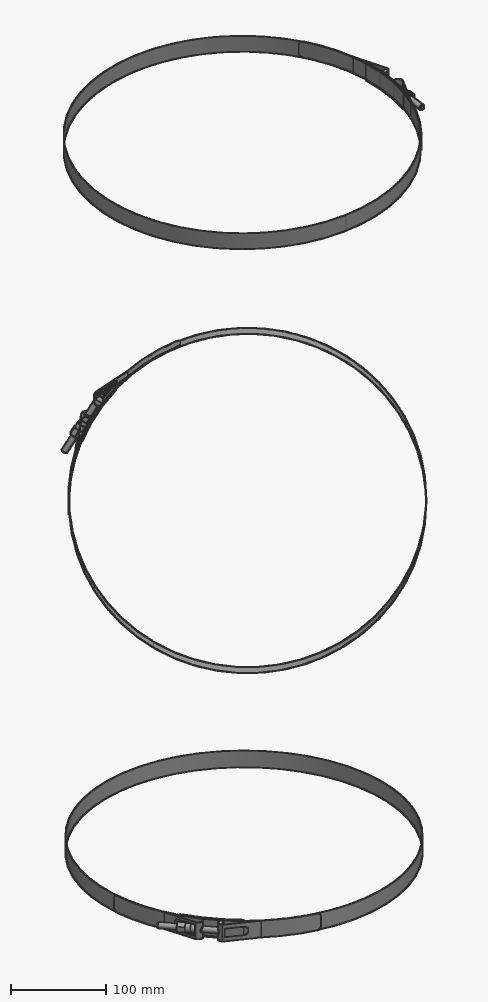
import cadquery as cq
import math


ring_diameter = 375.3
overall_depth = 385.0

sheet = 0.6
strap_width = 20.0
ring_radius = ring_diameter / 2
strap_inner = ring_radius - sheet
fold_outer = ring_radius + sheet

bridge_half_length = 34.3
bridge_width = 22.0
flange_radius = 188.5
bridge_inner = strap_inner - sheet

bolt_radius = 3.5
bolt_end = 56.5
bolt_chamfer = 0.95
bush_radius = 4.0
collar_radius = 4.5
collar_start = 16.0
spacer_start = 20.8
spacer_radius = 5.0
nut_start = 26.5
nut_end = 35.5
nut_flats = 10.8

loop_x = 13.0
loop_y = overall_depth - ring_radius - nut_flats / 2
loop_outer = math.hypot(loop_x, loop_y) - strap_inner
loop_inner = loop_outer - sheet
loop_angle = math.degrees(math.atan2(loop_x, loop_y))
lift_angle = 16.0
fold_end_angle = 36.0
fold_corner = 4.5

window_start = 15.8
window_end = 39.3
window_corner = 4.5
head_window_width = 10.0
nut_window_width = 13.5


def polar(radius, angle):
    """Point at a radius and an angle in degrees from +Y towards +X."""
    turn = math.radians(angle)
    return radius * math.sin(turn), radius * math.cos(turn)


def loop_point(radius, turn):
    """Point on a circle round the loop centre, at a turn in radians from +X."""
    return loop_x + radius * math.cos(turn), loop_y + radius * math.sin(turn)


def tangent_turn(radius, point):
    """Where the line from a point touches the top of a circle round the loop centre."""
    dx = point[0] - loop_x
    dy = point[1] - loop_y
    return math.atan2(dy, dx) + math.acos(radius / math.hypot(dx, dy))


def disc(radius, width):
    return cq.Workplane("XY").circle(radius).extrude(width / 2, both=True)


def ring(inner, outer, width):
    return disc(outer, width).cut(disc(inner, width))


def wedge(half_angle, width):
    """Sector centred on +Y that reaches past the ring."""
    reach = 2 * ring_radius
    right = polar(reach, half_angle)
    return (
        cq.Workplane("XY")
        .polyline([(0, 0), right, (-right[0], right[1])])
        .close()
        .extrude(width / 2, both=True)
    )


def bolt_plane(start):
    """Sketch plane across the bolt axis, with its first direction along +Z."""
    return cq.Workplane(cq.Plane(origin=(start, loop_y, 0), xDir=(0, 0, 1), normal=(1, 0, 0)))


def bar(radius, start, end):
    """Round bar along the bolt axis."""
    return bolt_plane(start).circle(radius).extrude(end - start)


def strap_end(window_width):
    """Folded loop on the +X side, with its window and bolt hole."""
    lift_inner = polar(ring_radius, lift_angle)
    lift_outer = polar(fold_outer, lift_angle)
    fold_middle = (lift_angle + fold_end_angle) / 2
    inner_turn = tangent_turn(loop_inner, lift_inner)
    outer_turn = tangent_turn(loop_outer, lift_outer)
    bottom_turn = math.radians(270 - loop_angle)
    end = (
        cq.Workplane("XY")
        .moveTo(*polar(fold_outer, fold_end_angle))
        .threePointArc(polar(fold_outer, fold_middle), lift_outer)
        .lineTo(*loop_point(loop_outer, outer_turn))
        .threePointArc(loop_point(loop_outer, math.pi), loop_point(loop_outer, bottom_turn))
        .lineTo(*loop_point(loop_inner, bottom_turn))
        .threePointArc(loop_point(loop_inner, math.pi), loop_point(loop_inner, inner_turn))
        .lineTo(*lift_inner)
        .threePointArc(polar(ring_radius, fold_middle), polar(ring_radius, fold_end_angle))
        .close()
        .extrude(strap_width / 2, both=True)
    )
    tip_x, tip_y = polar(ring_radius + sheet / 2, fold_end_angle)
    for tip_z in (-strap_width / 2, strap_width / 2):
        corner = cq.selectors.NearestToPointSelector((tip_x, tip_y, tip_z))
        end = end.edges(corner).fillet(fold_corner)
    window = (
        cq.Workplane("XY")
        .box(window_end - window_start, 4 * loop_outer, window_width)
        .edges(">X and |Y")
        .fillet(window_corner)
        .translate(((window_start + window_end) / 2, loop_y, 0))
    )
    return end.cut(window).cut(bar(bolt_radius, 0, loop_x))


def loop_filling():
    """Half cylinder that fills the rounded side of the +X loop, next to the gap."""
    cylinder = disc(loop_inner, strap_width).translate((loop_x, loop_y, 0))
    return cylinder.intersect(cq.Workplane("XY").box(2 * loop_x, 4 * ring_radius, strap_width))


bridge_angle = math.degrees(math.asin(bridge_half_length / flange_radius))
floor = ring(bridge_inner, strap_inner, bridge_width)
flanges = ring(bridge_inner, flange_radius, bridge_width).cut(disc(flange_radius, strap_width))
bridge = floor.union(flanges).intersect(wedge(bridge_angle, bridge_width))

strap = (
    ring(strap_inner, ring_radius, strap_width)
    .cut(wedge(loop_angle, strap_width))
    .union(strap_end(nut_window_width))
    .union(strap_end(head_window_width).mirror("YZ"))
)

shank = bar(bolt_radius, -loop_x, bolt_end).faces(">X").chamfer(bolt_chamfer)
t_bolt = loop_filling().mirror("YZ").union(shank)

bush = (
    bar(bush_radius, 0, loop_x)
    .intersect(loop_filling())
    .union(bar(bush_radius, loop_x, collar_start))
    .union(bar(collar_radius, collar_start, spacer_start))
    .cut(bar(bolt_radius, 0, bolt_end))
)

spacer = bar(spacer_radius, spacer_start, nut_start).cut(bar(bolt_radius, 0, bolt_end))

nut_corners = nut_flats / math.cos(math.pi / 6)
nut = (
    bolt_plane(nut_start)
    .polygon(6, nut_corners)
    .extrude(nut_end - nut_start)
    .cut(bar(bolt_radius, 0, bolt_end))
)

result = cq.Compound.makeCompound(
    [bridge.val(), strap.val(), t_bolt.val(), bush.val(), spacer.val(), nut.val()]
)